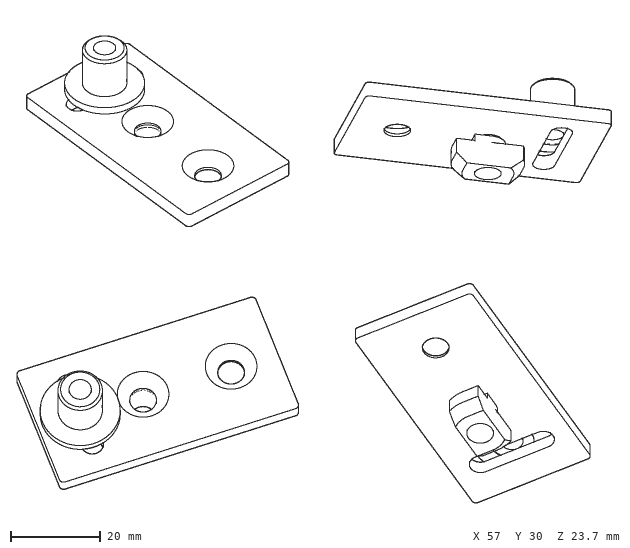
import cadquery as cq

PLATE_LENGTH = 57.0
PLATE_WIDTH = 30.0
PLATE_THICKNESS = 3.5
PLATE_CORNER_RADIUS = 1.0

POST_X = 10.0
POST_DIAMETER = 10.0
POST_HEIGHT = 10.0
POST_CHAMFER = 0.6
FLANGE_DIAMETER = 18.0
FLANGE_THICKNESS = 1.8
FLANGE_GAP = 0.2
BORE_DIAMETER = 5.0
SLOT_WIDTH = 5.0
SLOT_LENGTH = 21.0

SCREW_XS = (25.0, 46.0)
SCREW_HOLE_DIAMETER = 6.0
COUNTERSINK_DIAMETER = 11.6
COUNTERSINK_ANGLE = 90.0

NUT_X = SCREW_XS[0]
NUT_LENGTH = 16.5
NUT_WIDTH = 7.9
NUT_CHAMFER = 2.4
NUT_BODY_HEIGHT = 5.9
COLLAR_HEIGHT = 1.6
NECK_HEIGHT = 0.7
NECK_DIAMETER = 6.5


def make_plate():
    """Rounded plate with the slot and the countersunk holes."""
    plate = (
        cq.Workplane("XY")
        .box(PLATE_LENGTH, PLATE_WIDTH, PLATE_THICKNESS, centered=(False, True, False))
        .edges("|Z")
        .fillet(PLATE_CORNER_RADIUS)
    )
    slot = (
        cq.Workplane("XY")
        .center(POST_X, 0)
        .slot2D(SLOT_LENGTH, SLOT_WIDTH, 90)
        .extrude(PLATE_THICKNESS)
    )
    return (
        plate.cut(slot)
        .faces(">Z")
        .workplane(origin=(0, 0, 0))
        .pushPoints([(x, 0) for x in SCREW_XS])
        .cskHole(SCREW_HOLE_DIAMETER, COUNTERSINK_DIAMETER, COUNTERSINK_ANGLE)
    )


def make_post():
    """Flanged post with a chamfered top and a through bore, standing on the plate."""
    flange = (
        cq.Workplane("XY")
        .workplane(offset=FLANGE_GAP)
        .circle(FLANGE_DIAMETER / 2)
        .extrude(FLANGE_THICKNESS)
    )
    pin = (
        cq.Workplane("XY")
        .circle(POST_DIAMETER / 2)
        .extrude(FLANGE_GAP + FLANGE_THICKNESS + POST_HEIGHT)
        .faces(">Z")
        .chamfer(POST_CHAMFER)
    )
    post = flange.union(pin).faces(">Z").workplane().hole(BORE_DIAMETER)
    return post.translate((POST_X, 0, PLATE_THICKNESS))


def half_round_block(length, height, chamfer=0.0):
    """Block of the nut width, rounded about Z in the (+X, -Y) and (-X, +Y) quadrants.

    The lower edge of both ends, flat and round alike, can be chamfered at 45 degrees.
    """
    radius = length / 2
    half_width = NUT_WIDTH / 2
    round_part = cq.Workplane("XY").circle(radius).extrude(height)
    flat_part = cq.Workplane("XY").box(length, NUT_WIDTH, height, centered=(True, True, False))
    if chamfer:
        round_part = round_part.faces("<Z").chamfer(chamfer)
        flat_part = flat_part.edges("<Z and |Y").chamfer(chamfer)

    def quadrant(x_sign, y_sign):
        return (
            cq.Workplane("XY")
            .center(x_sign * radius / 2, y_sign * half_width / 2)
            .rect(radius, half_width)
            .extrude(height)
        )

    block = round_part.intersect(quadrant(1, -1)).union(round_part.intersect(quadrant(-1, 1)))
    for sign in (1, -1):
        block = block.union(flat_part.intersect(quadrant(sign, sign)))
    return block


def make_nut():
    """Chamfered nut body, collar and neck with a through hole, touching the plate underside."""
    collar_bottom = NUT_BODY_HEIGHT
    neck_bottom = collar_bottom + COLLAR_HEIGHT
    nut_height = neck_bottom + NECK_HEIGHT
    body = half_round_block(NUT_LENGTH, NUT_BODY_HEIGHT, NUT_CHAMFER)
    collar = half_round_block(NUT_WIDTH, COLLAR_HEIGHT).translate((0, 0, collar_bottom))
    neck = (
        cq.Workplane("XY")
        .workplane(offset=neck_bottom)
        .circle(NECK_DIAMETER / 2)
        .extrude(NECK_HEIGHT)
    )
    hole = cq.Workplane("XY").circle(SCREW_HOLE_DIAMETER / 2).extrude(nut_height)
    return body.union(collar).union(neck).cut(hole).translate((NUT_X, 0, -nut_height))


result = make_plate().union(make_post()).union(make_nut())